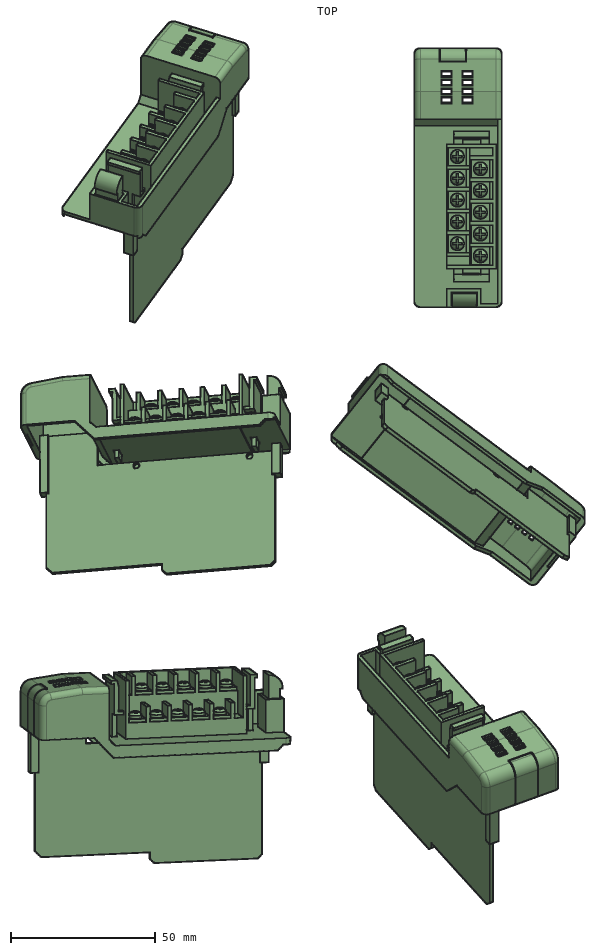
import cadquery as cq
import math


width = 30.5
length = 90.0
cover_top = 20.8
cover_front = 65.25
cover_crest = 75.0
cover_rear_top = 19.0
cover_rear_round = 4.2
edge_round = 2.2
deck_bevel = 2.25
cover_bottom = 3.1
skirt_bottom = -4.3
lip_bottom = -2.3
lip_depth = 3.1
lip_slope = 2.0
skirt_slope_top = 70.65
skirt_slope_bottom = 63.7
deck_thickness = 1.9
deck_front_thickness = 1.35
tolerance = 0.01
left_skirt = 1.35
right_skirt = 1.1
cover_wall = 1.4
cover_rear_wall = 2.3

wall_height = 11.7
wall_thickness = 1.4
front_wall_thickness = 1.2
box_left = 11.3
box_right = 23.1
box_depth = 6.5

window_columns = (11.25, 18.5)
window_rows = 4
first_window_y = 71.9
window_pitch = 3.1
window_outer = (3.8, 2.3)
window_inner = (3.2, 1.5)
window_taper_depth = 0.5

clearance = 0.3
hook_left = 13.2
hook_right = 21.7
hook_radius = 4.6
hook_back = 4.95
hook_top = 19.9
hook_nose_z = 14.9
hook_undercut = 0.9
rear_latch_left = 9.1
rear_latch_right = 17.9
rear_latch_front = 85.5
rear_latch_thickness = 0.9

board_left = 24.5
board_thickness = 1.35
board_front = 4.6
board_rear = 85.7
board_bottom = -46.8
board_rear_bottom = -42.9
board_step = 44.6
board_small_chamfer = 1.5
board_large_chamfer = 2.2
board_top = -3.5
board_rear_top = 9.0
board_notch = 67.5
board_hole_radius = 1.1
board_hole_z = -4.9
board_hole_places = (13.6, 53.7)
guide_left = 23.3
guide_right = 27.0
guide_bottom = -12.8
front_guide = (2.4, 5.5)
rear_guide_front = 84.8

block_left = 11.3
block_right = 28.5
block_front = 13.4
block_rear = 56.6
block_top = 20.5
end_wall = 1.2
tier_step = 19.3
upper_right = 27.3
lower_floor = 5.7
upper_floor = 13.9
lower_partition_top = 11.2
terminals = 5
pad_length = 6.2
pad_height = 1.1
pad_pitch = 7.6
lower_pad = (11.9, 18.2)
upper_pad_gap = 0.2
upper_pad = (19.8, 26.3)

screw_radius = 2.3
screw_rim = 1.0
screw_dome = 1.35
screw_slot_width = 0.7
screw_slot_depth = 0.5

clip_left = 13.9
clip_right = 26.2
clip_top = 20.25
clip_lip_height = 1.1
clip_bevel_width = 0.5
clip_bevel_height = 2.0
web_bottom = 8.2
web_thickness = 1.1
leg_left = 16.8
leg_right = 23.1
foot_left = 17.7
foot_right = 22.5
slot_left = 17.0

clip_places = (
    (block_front, (11.4, 9.8), 8.9),
    (block_rear, (58.5, 60.0), 61.2),
)


def box(x, y, z):
    """Box between the low and the high value given along each axis."""
    low = (x[0], y[0], z[0])
    size = (x[1] - x[0], y[1] - y[0], z[1] - z[0])
    return cq.Workplane("XY").box(*size, centered=False).translate(low)


def side_plate(sketch, x):
    """Extrude an outline drawn in Y and Z across the X range."""
    return sketch.close().extrude(x[1] - x[0]).translate((x[0], 0, 0))


def round_rear_top(form, radius):
    """Round the edge between the sloped top and the rear face."""
    return form.faces(">Y").edges(">Z").fillet(radius)


def outer_form():
    """Outside of the deck, its skirts and the raised rear cover, without hollows."""
    outline = (
        cq.Workplane("YZ")
        .moveTo(0, 0)
        .lineTo(cover_front - deck_bevel, 0)
        .lineTo(cover_front, deck_bevel)
        .lineTo(cover_front, cover_top)
        .lineTo(cover_crest, cover_top)
        .lineTo(length, cover_rear_top)
        .lineTo(length, cover_bottom)
        .lineTo(skirt_slope_top, cover_bottom)
        .lineTo(skirt_slope_bottom, skirt_bottom)
        .lineTo(lip_depth + lip_slope, skirt_bottom)
        .lineTo(lip_depth, lip_bottom)
        .lineTo(0, lip_bottom)
    )
    return round_rear_top(side_plate(outline, (0, width)), cover_rear_round)


def on_side(edge):
    """Whether the edge lies on the housing's left or right face."""
    x = edge.Center().x
    return min(x, width - x) < tolerance


def round_cover(form):
    """Round the cover's top side edges and its upright rear corners."""
    def rounded(edge):
        middle = edge.Center()
        on_cover = middle.y > cover_front + tolerance and middle.z > cover_bottom + tolerance
        return on_side(edge) and on_cover

    return form.newObject([e for e in form.edges().vals() if rounded(e)]).fillet(edge_round)


def round_front_corners(form):
    """Round the upright corners at the front of the deck and of the right-hand wall."""
    def rounded(edge):
        return on_side(edge) and edge.Center().y < tolerance

    return form.newObject([e for e in form.edges("|Z").vals() if rounded(e)]).fillet(edge_round)


def deck_walls():
    """Right-hand wall with its front return, and the box that holds the front latch."""
    height = (0, wall_height)
    right = box((width - wall_thickness, width), (0, cover_front), height)
    front = box((box_left, width), (0, front_wall_thickness), height)
    latch_box = box((box_left, box_right), (0, box_depth), height)
    return right.union(front).union(latch_box)


def cover_surface_z(y):
    """Height of the cover's top at a given Y, in front of the rear rounding."""
    slope = (cover_top - cover_rear_top) / (length - cover_crest)
    return cover_top - max(0, y - cover_crest) * slope


def underside_hollow():
    """Space under the deck and inside the cover, open at the bottom."""
    cover_inner_front = cover_front + cover_wall
    inner_rear = length - cover_rear_wall
    below = skirt_bottom - 0.9
    outline = (
        cq.Workplane("YZ")
        .moveTo(-0.9, below)
        .lineTo(-0.9, -deck_front_thickness)
        .lineTo(block_front, -deck_front_thickness)
        .lineTo(block_front, -deck_thickness)
        .lineTo(cover_front - deck_bevel, -deck_thickness)
        .lineTo(cover_inner_front, deck_bevel - deck_thickness + cover_wall)
        .lineTo(cover_inner_front, cover_top - cover_wall)
        .lineTo(cover_crest, cover_top - cover_wall)
        .lineTo(inner_rear, cover_surface_z(inner_rear) - cover_wall)
        .lineTo(inner_rear, below)
    )
    hollow = side_plate(outline, (left_skirt, width - right_skirt))
    return round_rear_top(hollow, cover_rear_round - cover_wall)


def window(x, y):
    """Indicator window that narrows from the cover's top to a straight hole."""
    surface = cover_surface_z(y)
    rim = (
        cq.Workplane("XY", origin=(x, y, surface))
        .rect(*window_outer)
        .workplane(offset=-window_taper_depth)
        .rect(*window_inner)
        .loft(ruled=True)
    )
    above = cq.Workplane("XY", origin=(x, y, surface)).rect(*window_outer).extrude(0.9)
    hole = cq.Workplane("XY", origin=(x, y, surface)).rect(*window_inner).extrude(-2 * cover_wall)
    return rim.union(above).union(hole)


def rear_latch_form(gap):
    """Strip of the cover's rear skin, widened by the gap on its sides and front."""
    region = box(
        (rear_latch_left - gap, rear_latch_right + gap),
        (rear_latch_front - gap, length),
        (cover_bottom, cover_top),
    )
    core = outer_form().translate((0, -rear_latch_thickness, -rear_latch_thickness))
    return outer_form().intersect(region).cut(core)


def hook_stem(gap):
    """Stem of the front latch, widened on all sides by the gap."""
    return box(
        (hook_left - gap, hook_right + gap),
        (hook_undercut - gap, hook_back + gap),
        (0, hook_nose_z),
    )


def front_latch():
    """Latch hook whose stem stands in the latch box and whose nose is a quarter round."""
    arc_center_z = hook_top - hook_radius
    arc_middle = (
        hook_radius * (1 - math.sqrt(0.5)),
        arc_center_z + hook_radius * math.sqrt(0.5),
    )
    nose = (
        cq.Workplane("YZ")
        .moveTo(0, hook_nose_z)
        .lineTo(0, arc_center_z)
        .threePointArc(arc_middle, (hook_radius, hook_top))
        .lineTo(hook_back, hook_top)
        .lineTo(hook_back, hook_nose_z)
    )
    return hook_stem(gap=0).union(side_plate(nose, (hook_left, hook_right)))


def circuit_board():
    """Upright board with a stepped lower edge, a notched upper edge and two holes."""
    small = board_small_chamfer
    large = board_large_chamfer
    outline = (
        cq.Workplane("YZ")
        .moveTo(board_front, board_top)
        .lineTo(board_front, board_bottom + small)
        .lineTo(board_front + small, board_bottom)
        .lineTo(board_step - small, board_bottom)
        .lineTo(board_step, board_bottom + small)
        .lineTo(board_step, board_rear_bottom)
        .lineTo(board_rear - large, board_rear_bottom)
        .lineTo(board_rear, board_rear_bottom + large)
        .lineTo(board_rear, board_rear_top)
        .lineTo(board_notch, board_rear_top)
        .lineTo(board_notch, board_top)
    )
    board = side_plate(outline, (board_left, board_left + board_thickness))
    for y in board_hole_places:
        hole = cq.Workplane("YZ").center(y, board_hole_z).circle(board_hole_radius).extrude(width)
        board = board.cut(hole)
    return board


def board_guides():
    """Posts under the deck and behind the cover that hold the board's two ends."""
    x = (guide_left, guide_right)
    front = box(x, front_guide, (guide_bottom, -deck_front_thickness))
    rear = box(x, (rear_guide_front, length - cover_rear_wall), (guide_bottom, board_rear_top))
    return front.union(rear)


def screw(x, y, z):
    """Domed screw head with a cross slot, standing on a pad."""
    head_height = screw_rim + screw_dome
    sphere_radius = (screw_radius**2 + screw_dome**2) / (2 * screw_dome)
    sphere = cq.Workplane("XY").sphere(sphere_radius).translate((0, 0, head_height - sphere_radius))
    head = cq.Workplane("XY").circle(screw_radius).extrude(head_height).intersect(sphere)
    arm = cq.Workplane("XY", origin=(0, 0, head_height - screw_slot_depth)).rect(
        2 * screw_radius, screw_slot_width
    ).extrude(head_height)
    head = head.cut(arm).cut(arm.rotate((0, 0, 0), (0, 0, 1), 90))
    return head.translate((x, y, z))


def clip(wall_y, grip_y, lip_y):
    """Release clip: grip plate with a lip, two webs to the block's end wall, and a leg
    whose foot passes through the deck."""
    inner_y, outer_y = grip_y
    plate_y = sorted(grip_y)
    x = (clip_left, clip_right)
    plate = box(x, plate_y, (web_bottom, clip_top))
    lip = box(x, sorted((outer_y, lip_y)), (clip_top - clip_lip_height, clip_top))
    web = box(x, sorted((wall_y, inner_y)), (web_bottom, web_bottom + web_thickness))
    opening = box((leg_left, leg_right), sorted((wall_y, inner_y)), (0, clip_top))
    leg = box((leg_left, leg_right), plate_y, (0, web_bottom))
    foot = box((foot_left, foot_right), plate_y, (skirt_bottom, 0))
    return plate.union(lip).union(web.cut(opening)).union(leg).union(foot)


def rear_clip_bevel():
    """Wedge cut from the rear clip's top edge, on the side that faces the block."""
    face_y = min(clip_places[1][1])
    outline = (
        cq.Workplane("YZ")
        .moveTo(face_y, clip_top)
        .lineTo(face_y + clip_bevel_width, clip_top)
        .lineTo(face_y, clip_top - clip_bevel_height)
    )
    return side_plate(outline, (clip_left, clip_right))


def terminal_block():
    """Two-tier block with partitions, pads, screws and the two release clips."""
    inner_front = block_front + end_wall
    inner_rear = block_rear - end_wall
    inner_y = (inner_front, inner_rear)
    block = box((block_left, block_right), (block_front, block_rear), (0, block_top))
    block = block.cut(box((block_left, tier_step), inner_y, (lower_floor, block_top)))
    block = block.cut(box((tier_step, upper_right), inner_y, (upper_floor, block_top)))
    for number in range(terminals):
        offset = number * pad_pitch

        pad_rear = inner_rear - offset
        pad_y = (pad_rear - pad_length, pad_rear)
        partition_y = (pad_rear - pad_pitch, pad_y[0])
        partition = box((block_left, tier_step), partition_y, (lower_floor, lower_partition_top))
        pad = box(lower_pad, pad_y, (lower_floor, lower_floor + pad_height))
        head = screw(sum(lower_pad) / 2, sum(pad_y) / 2, lower_floor + pad_height)
        block = block.union(partition).union(pad).union(head)

        pad_front = inner_front + upper_pad_gap + offset
        pad_y = (pad_front, pad_front + pad_length)
        partition_y = (pad_y[1], pad_front + pad_pitch)
        partition = box((tier_step, upper_right), partition_y, (upper_floor, block_top))
        pad = box(upper_pad, pad_y, (upper_floor, upper_floor + pad_height))
        head = screw(sum(upper_pad) / 2, sum(pad_y) / 2, upper_floor + pad_height)
        block = block.union(partition).union(pad).union(head)
    front_clip, rear_clip = (clip(*place) for place in clip_places)
    return block.union(front_clip).union(rear_clip.cut(rear_clip_bevel()))


def clip_slots():
    """Slots in the deck for the feet of the clips."""
    slots = cq.Workplane("XY")
    for _, grip_y, _ in clip_places:
        low, high = sorted(grip_y)
        slots = slots.add(
            box((slot_left, foot_right), (low - clearance, high + clearance), (skirt_bottom, 0))
        )
    return slots.combine()


def housing():
    """Deck, cover and walls, hollow below, with the recesses for the other bodies."""
    body = round_cover(outer_form())
    body = body.cut(underside_hollow()).union(deck_walls())
    body = round_front_corners(body)
    body = body.union(board_guides()).cut(circuit_board())
    body = body.cut(hook_stem(clearance)).cut(clip_slots()).cut(rear_latch_form(clearance))
    for x in window_columns:
        for row in range(window_rows):
            body = body.cut(window(x, first_window_y + row * window_pitch))
    return body


rear_latch = rear_latch_form(gap=0)
result = cq.Compound.makeCompound(
    [
        housing().val(),
        circuit_board().val(),
        terminal_block().val(),
        front_latch().val(),
        rear_latch.val(),
    ]
)